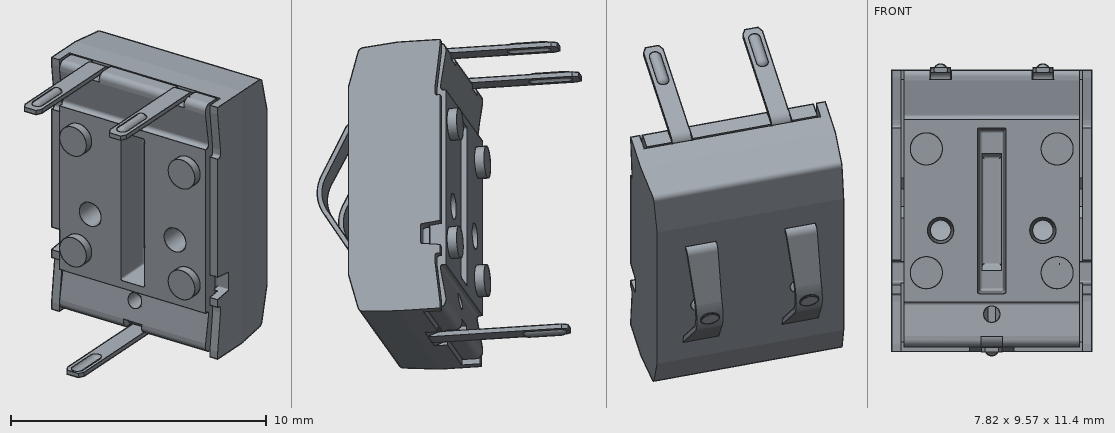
import cadquery as cq
import math


half_width = 3.91
half_height = 5.5
wall_front = 0.14
parting = 1.81
back = 3.82
back_half_width = 3.75
back_edge_y = 3.39
back_edge_z = 5.38
back_face_z = 3.84
back_edge_radius = 0.23

scallop_y = 0.33
scallop_inner_z = 3.24
scallop_bend_z = 3.56
scallop_outer_z = 5.19
scallop_radius = 0.11

cavity_half_width = 3.55
cavity_floor = 0.65
end_groove_floor = 0.85
end_groove_z = 5.13

window_y = 0.9
window_front_z = (-1.92, -2.9)
window_back_z = (-2.01, -2.79)
window_inner_x = 3.35
window_floor_radius = 0.07

pocket_z = (-0.28, 1.29)
pocket_end_taper = 0.45
pocket_depth = 0.34

plate_half_width = 3.43
seat_half_height = 3.57
trough_y = 0.24
top_trough_radius = 0.16
bottom_trough_radius = 0.11
lip_back = 0.79
lip_round = 0.26
lip_flat = 0.15
plate_top = half_height
plate_bottom = -5.31

peg_radius = 0.63
peg_height = 0.38
peg_x = 2.55
peg_z = 2.42

contact_x = 2.0
contact_hole_z = -0.76
contact_hole_radius = 0.51
contact_hole_inner_radius = 0.4
small_hole_z = -4.04
small_hole_radius = 0.32
small_hole_depth = 1.14
small_hole_floor_half = 0.14
small_hole_straight = 0.8

slot_half_width = 0.56
slot_half_height = 3.24
slot_depth = 1.37
slot_draft_inset = 0.11
slot_corner_radius = 0.09
slot_floor_radius = 0.11
channel_half_width = 0.39
channel_z = (-2.33, 2.25)
channel_floor_half_height = 2.1
channel_depth = 0.34
channel_radius = 0.1

pin_width = 0.79
pin_thickness = 0.18
pin_tip = -4.2
pin_tip_inset = 0.13
pin_tip_length = 0.23
top_pin_z = 5.59
bottom_pin_z = -5.52
pin_bend_y = 0.4
pin_bend_radius = 0.46
pin_leg_z = 4.56
bottom_pin_root = 1.37
pin_notch_width = 0.84
pin_notch_z = top_pin_z - pin_bend_radius
bottom_notch_z = -4.9
bottom_notch_depth = 0.28
bottom_notch_radius = 0.36
relief_half_width = 0.88
relief_z = -5.31
relief_end_y = 1.37

bead_width = 0.47
bead_height = 0.15
bead_straight = 1.28
top_bead_y = -3.02
bottom_bead_y = -3.23

spring_thickness = 0.19
spring_root_y = 3.19
spring_embed_y = 3.53
spring_top_z = 2.72
spring_bend_y = 4.08
spring_apex_y = 5.57
spring_apex_z = -0.1
spring_root_z = -3.83
spring_apex_radius = 1.54
spring_bend_radius = 0.34
spring_tip_half = 0.52
spring_top_half = 0.62
spring_bottom_half = 0.82
spring_straight_half = 0.8
button_half_width = 0.39
button_half_height = 0.3
button_top = 5.37
button_depth = 0.17
button_edge = 0.03


def box(x0, x1, y0, y1, z0, z1):
    """Axis-aligned block between the given corners."""
    return cq.Workplane("XY").box(x1 - x0, y1 - y0, z1 - z0, centered=False).translate((x0, y0, z0))


def side_extrusion(profile, half):
    """Extrude a closed YZ profile symmetrically to |x| = half."""
    return profile.extrude(half, both=True)


def rod(x, z, radius, y0, y1):
    """Round rod along Y."""
    rod_plane = cq.Workplane("XZ", origin=(x, y0, z))
    return rod_plane.circle(radius).extrude(y0 - y1)


def housing():
    """Outer shell block with drafted back, cavity, scalloped walls and latch windows."""
    profile = cq.Workplane("YZ").polyline([
        (wall_front, half_height), (parting, half_height),
        (back_edge_y, back_edge_z), (back, back_face_z),
        (back, -back_face_z), (back_edge_y, -back_edge_z),
        (parting, -half_height), (wall_front, -half_height),
        (wall_front, -scallop_outer_z), (scallop_y, -scallop_bend_z),
        (scallop_y, -scallop_inner_z), (wall_front, -scallop_inner_z),
        (wall_front, scallop_inner_z), (scallop_y, scallop_inner_z),
        (scallop_y, scallop_bend_z), (wall_front, scallop_outer_z),
    ]).close()
    body = side_extrusion(profile, half_width)
    for end in (-1, 1):
        corner = cq.selectors.NearestToPointSelector((0, back_edge_y, end * back_edge_z))
        body = body.edges("|X").edges(corner).fillet(back_edge_radius)
        corner = cq.selectors.NearestToPointSelector((0, scallop_y, end * scallop_inner_z))
        body = body.edges("|X").edges(corner).fillet(scallop_radius)

    footprint = cq.Workplane("XY").polyline([
        (-half_width, wall_front), (half_width, wall_front),
        (half_width, parting), (back_half_width, back),
        (-back_half_width, back), (-half_width, parting),
    ]).close().extrude(half_height, both=True)
    body = body.intersect(footprint)

    body = body.cut(box(-cavity_half_width, cavity_half_width, 0, cavity_floor, -half_height, half_height))
    groove = box(-cavity_half_width, cavity_half_width, 0, end_groove_floor, end_groove_z, half_height)
    body = body.cut(groove).cut(groove.mirror("XY"))

    window = cq.Workplane("YZ").polyline([
        (wall_front, window_front_z[0]), (window_y, window_back_z[0]),
        (window_y, window_back_z[1]), (wall_front, window_front_z[1]),
    ]).close()
    window = window.extrude(half_width).translate((window_inner_x, 0, 0))
    window = window.faces(">Y").edges("not >X").fillet(window_floor_radius)
    return body.cut(window).cut(window.mirror("YZ"))


def latch_pockets():
    """Tapered pockets in the floor of the gaps beside the base plate."""
    low, high = pocket_z
    profile = cq.Workplane("YZ").polyline([
        (cavity_floor, low), (cavity_floor + pocket_depth, low + pocket_end_taper),
        (cavity_floor + pocket_depth, high - pocket_end_taper), (cavity_floor, high),
    ]).close()
    inner = box(-plate_half_width, plate_half_width, 0, back, low, high)
    return side_extrusion(profile, cavity_half_width).cut(inner)


def pin_relief():
    """Sloping relief in the bottom of the housing where the single pin leaves it."""
    profile = cq.Workplane("YZ").polyline([
        (end_groove_floor, relief_z), (relief_end_y, -half_height), (end_groove_floor, -half_height),
    ]).close()
    return side_extrusion(profile, relief_half_width)


def base_plate():
    """Plate with a flat seat, two sloping troughs, rounded end lips and locating pegs."""
    arc_offset = lip_round * (1 - math.sqrt(0.5))
    top_flat = plate_top - lip_round
    bottom_flat = plate_bottom + lip_round
    profile = (
        cq.Workplane("YZ")
        .moveTo(0, -seat_half_height)
        .lineTo(0, seat_half_height)
        .lineTo(trough_y, seat_half_height)
        .lineTo(0, top_flat - lip_flat)
        .lineTo(0, top_flat)
        .threePointArc((arc_offset, plate_top - arc_offset), (lip_round, plate_top))
        .lineTo(lip_back, plate_top)
        .lineTo(lip_back, end_groove_z)
        .lineTo(cavity_floor, end_groove_z)
        .lineTo(cavity_floor, -end_groove_z)
        .lineTo(lip_back, -end_groove_z)
        .lineTo(lip_back, plate_bottom)
        .lineTo(lip_round, plate_bottom)
        .threePointArc((arc_offset, plate_bottom + arc_offset), (0, bottom_flat))
        .lineTo(0, bottom_flat + lip_flat)
        .lineTo(trough_y, -seat_half_height)
        .close()
    )
    plate = side_extrusion(profile, plate_half_width)
    trough_roots = ((-seat_half_height, bottom_trough_radius), (seat_half_height, top_trough_radius))
    for end_z, radius in trough_roots:
        root = cq.selectors.NearestToPointSelector((0, trough_y, end_z))
        plate = plate.edges("|X").edges(root).fillet(radius)
    for x in (-peg_x, peg_x):
        for z in (-peg_z, peg_z):
            plate = plate.union(rod(x, z, peg_radius, -peg_height, wall_front))
    half_notch = pin_notch_width / 2
    for x in (-contact_x, contact_x):
        plate = plate.cut(box(x - half_notch, x + half_notch, 0, lip_back, pin_notch_z, plate_top))
    notch = box(-half_notch, half_notch, 0, lip_back, plate_bottom, bottom_notch_z)
    core = box(-half_notch, half_notch, bottom_notch_depth, lip_back, plate_bottom, bottom_notch_z)
    return plate.cut(notch.cut(core.edges("|X and <Y and <Z").fillet(bottom_notch_radius)))


def central_slot():
    """Drafted slot with a rounded floor and a deeper channel along its middle."""
    draft = math.degrees(math.atan(slot_draft_inset / slot_depth))
    slot = (
        cq.Workplane("XZ")
        .rect(2 * slot_half_width, 2 * slot_half_height)
        .extrude(-slot_depth, taper=draft)
        .edges("not #Y").fillet(slot_corner_radius)
        .faces(">Y").edges().fillet(slot_floor_radius)
    )
    channel_floor = slot_depth + channel_depth
    low, high = channel_z
    profile = cq.Workplane("YZ").polyline([
        (slot_depth / 2, low), (slot_depth, low),
        (channel_floor, -channel_floor_half_height), (channel_floor, channel_floor_half_height),
        (slot_depth, high), (slot_depth / 2, high),
    ]).close()
    channel = side_extrusion(profile, channel_half_width).faces(">Y").edges().fillet(channel_radius)
    return slot.union(channel)


def contact_hole(x):
    """Tapered hole through the base plate and housing, behind a spring contact."""
    return (
        cq.Workplane("XZ", origin=(x, 0, contact_hole_z))
        .circle(contact_hole_radius)
        .workplane(offset=-back)
        .circle(contact_hole_inner_radius)
        .loft()
    )


def small_hole():
    """Round blind hole whose sides slope in to a narrow flat floor."""
    wedge = cq.Workplane("XY").polyline([
        (-small_hole_radius, 0), (small_hole_radius, 0), (small_hole_radius, small_hole_straight),
        (small_hole_floor_half, small_hole_depth), (-small_hole_floor_half, small_hole_depth),
        (-small_hole_radius, small_hole_straight),
    ]).close().extrude(half_height, both=True)
    return rod(0, small_hole_z, small_hole_radius, 0, small_hole_depth).intersect(wedge)


def bead(y, z):
    """Long bead standing up from height z, centred at x = 0."""
    radius = (bead_width ** 2 / 4 + bead_height ** 2) / (2 * bead_height)
    axis_z = z + bead_height - radius
    start = y - bead_straight / 2
    shape = rod(0, axis_z, radius, start, start + bead_straight)
    for end_y in (start, start + bead_straight):
        shape = shape.union(cq.Workplane("XY").sphere(radius).translate((0, end_y, axis_z)))
    reach = bead_straight / 2 + radius
    return shape.intersect(box(-radius, radius, y - reach, y + reach, z, z + bead_height))


def pin_blade(root, bead_y):
    """Straight pin with its outer face at z = 0, a pointed tip and a pressed bead."""
    half = pin_width / 2
    blade = cq.Workplane("XY").polyline([
        (-half, root), (-half, pin_tip + pin_tip_length), (-half + pin_tip_inset, pin_tip),
        (half - pin_tip_inset, pin_tip), (half, pin_tip + pin_tip_length), (half, root),
    ]).close().extrude(-pin_thickness)
    return blade.cut(bead(bead_y, -pin_thickness)).union(bead(bead_y, 0))


def top_pin(x):
    """Pin that bends down into the housing behind the top lip."""
    inner = pin_bend_radius - pin_thickness
    diagonal = math.sqrt(0.5)
    centre_y = pin_bend_y
    centre_z = top_pin_z - pin_bend_radius
    bend = (
        cq.Workplane("YZ")
        .moveTo(centre_y, top_pin_z)
        .threePointArc((centre_y + pin_bend_radius * diagonal, centre_z + pin_bend_radius * diagonal),
                       (centre_y + pin_bend_radius, centre_z))
        .lineTo(centre_y + pin_bend_radius, pin_leg_z)
        .lineTo(centre_y + inner, pin_leg_z)
        .lineTo(centre_y + inner, centre_z)
        .threePointArc((centre_y + inner * diagonal, centre_z + inner * diagonal),
                       (centre_y, top_pin_z - pin_thickness))
        .close()
    )
    blade = pin_blade(pin_bend_y, top_bead_y).translate((0, 0, top_pin_z))
    return blade.union(side_extrusion(bend, pin_width / 2)).translate((x, 0, 0))


def bottom_pin():
    """Straight pin along the bottom of the housing, bead facing down."""
    return pin_blade(bottom_pin_root, bottom_bead_y).mirror("XY").translate((0, 0, bottom_pin_z))


def spring_contact(x):
    """Bowed leaf spring, narrowing towards its chamfered oval contact button."""
    outline = cq.Workplane("YZ").polyline([
        (spring_root_y, spring_top_z), (spring_bend_y, spring_top_z),
        (spring_apex_y, spring_apex_z), (spring_root_y, spring_root_z),
    ]).close()
    bow = side_extrusion(outline, half_width)
    apex = cq.selectors.NearestToPointSelector((0, spring_apex_y, spring_apex_z))
    bow = bow.edges("|X").edges(apex).fillet(spring_apex_radius)
    bend = cq.selectors.NearestToPointSelector((0, spring_bend_y, spring_top_z))
    bow = bow.edges("|X").edges(bend).fillet(spring_bend_radius)
    inside = bow.faces("<X").wires().toPending().offset2D(-spring_thickness)
    hollow = inside.extrude(2 * half_width, combine=False)
    buried = box(-half_width, half_width, 0, spring_embed_y, -half_height, half_height)
    leaf = bow.cut(hollow).cut(buried)

    blank = cq.Workplane("XZ").polyline([
        (-spring_top_half, spring_top_z), (-spring_tip_half, spring_straight_half),
        (-spring_tip_half, -spring_straight_half), (-spring_bottom_half, spring_root_z),
        (spring_bottom_half, spring_root_z), (spring_tip_half, -spring_straight_half),
        (spring_tip_half, spring_straight_half), (spring_top_half, spring_top_z),
    ]).close().extrude(-spring_apex_y)
    leaf = leaf.intersect(blank)
    button_plane = cq.Workplane("XZ", origin=(0, button_top, 0))
    button = button_plane.ellipse(button_half_width, button_half_height).extrude(button_depth)
    leaf = leaf.union(button.faces(">Y").edges().chamfer(button_edge))
    return leaf.translate((x, 0, 0))


result = housing().cut(latch_pockets()).cut(pin_relief()).union(base_plate())
result = result.cut(central_slot()).cut(small_hole())
for contact in (-contact_x, contact_x):
    result = result.cut(contact_hole(contact)).union(top_pin(contact)).union(spring_contact(contact))
result = result.union(bottom_pin())